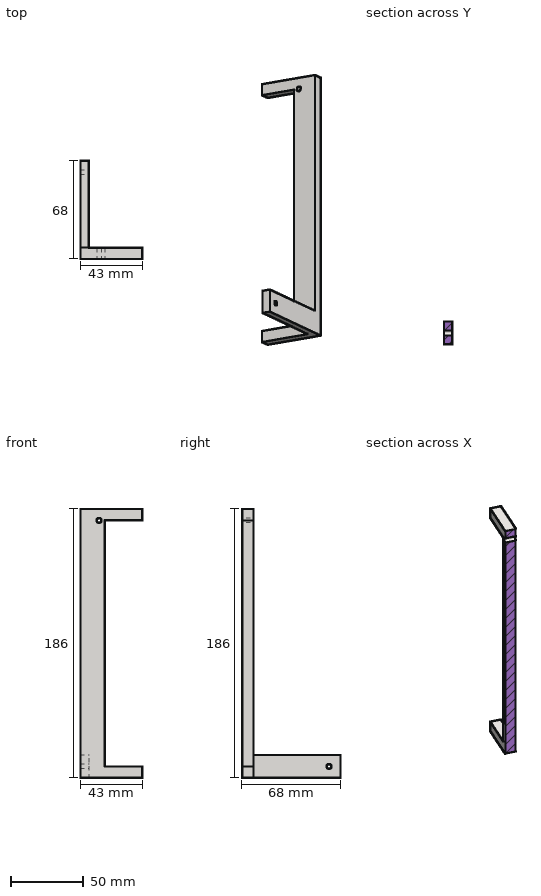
import cadquery as cq

width = 43.0
depth = 68.0
height = 186.0

bar = 8.0
upright_width = 17.0

foot_thickness = 6.0
foot_height = 2 * bar

hole_diameter = 3.2
upright_hole_x = 13.0
upright_hole_z = height - bar
foot_hole_y = depth - bar
foot_hole_z = foot_height / 2


def block(size_x, size_y, size_z, base_z=0):
    """Box with its left front edge on the Z axis, starting at base_z."""
    return cq.Workplane("XY").box(size_x, size_y, size_z, centered=False).translate((0, 0, base_z))


frame = block(upright_width, bar, height)
for arm_base in (0, height - bar):
    frame = frame.union(block(width, bar, bar, arm_base))

foot = block(foot_thickness, depth, foot_height)

upright_hole = (
    cq.Workplane("XZ")
    .center(upright_hole_x, upright_hole_z)
    .circle(hole_diameter / 2)
    .extrude(-bar)
)

foot_hole = (
    cq.Workplane("YZ")
    .center(foot_hole_y, foot_hole_z)
    .circle(hole_diameter / 2)
    .extrude(foot_thickness)
)

result = frame.union(foot).cut(upright_hole).cut(foot_hole)